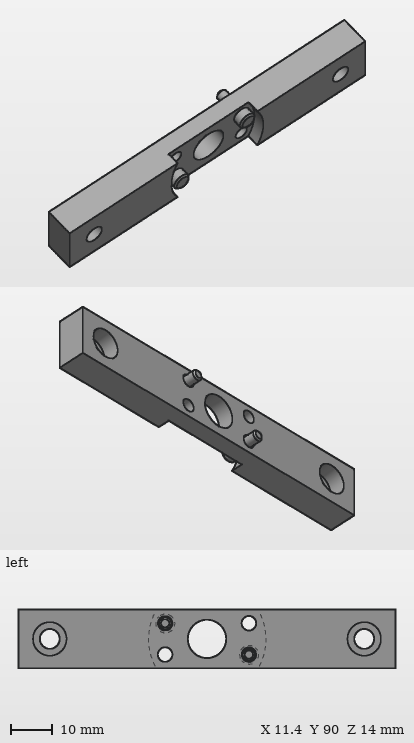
import cadquery as cq

bar_length = 90.0
bar_thickness = 8.0
bar_height = 14.0

pocket_diameter = 28.0
web_thickness = 4.6

center_bore_diameter = 9.1
mount_spacing = 75.0
mount_hole_diameter = 4.7
counterbore_diameter = 8.0
counterbore_depth = 4.5
screw_spacing_y = 20.0
screw_spacing_z = 7.5
clearance_diameter = 3.4

shank_diameter = 2.9
shank_projection = 3.4
tip_chamfer = 0.45
head_diameter = 4.5
head_height = 2.7
head_chamfer = 0.45

screw_y = screw_spacing_y / 2
screw_z = screw_spacing_z / 2
screw_places = [(screw_y, screw_z), (-screw_y, -screw_z)]
spare_hole_places = [(screw_y, -screw_z), (-screw_y, screw_z)]
mount_places = [(mount_spacing / 2, 0), (-mount_spacing / 2, 0)]


def x_cylinders(places, diameter, start_x, length):
    """Cylinders running toward +X from start_x, one at each (Y, Z) place."""
    plane = cq.Workplane("YZ", origin=(start_x, 0, 0))
    return plane.pushPoints(places).circle(diameter / 2).extrude(length)


def make_bar():
    bar = cq.Workplane("XY").box(bar_thickness, bar_length, bar_height, centered=(False, True, True))

    pocket_depth = bar_thickness - web_thickness
    pocket = x_cylinders([(0, 0)], pocket_diameter, web_thickness, pocket_depth)
    bar = bar.cut(pocket)

    bar = bar.cut(x_cylinders([(0, 0)], center_bore_diameter, 0, bar_thickness))
    bar = bar.cut(x_cylinders(mount_places, mount_hole_diameter, 0, bar_thickness))
    bar = bar.cut(x_cylinders(mount_places, counterbore_diameter, 0, counterbore_depth))
    return bar.cut(x_cylinders(screw_places + spare_hole_places, clearance_diameter, 0, web_thickness))


def make_screw(place):
    shank_length = shank_projection + web_thickness
    shank = x_cylinders([place], shank_diameter, -shank_projection, shank_length)
    shank = shank.faces("<X").chamfer(tip_chamfer)
    head = x_cylinders([place], head_diameter, web_thickness, head_height)
    head = head.faces(">X").edges().chamfer(head_chamfer)
    return shank.union(head)


bar = make_bar()
screws = [make_screw(place) for place in screw_places]

result = cq.Compound.makeCompound([bar.val(), *[screw.val() for screw in screws]])